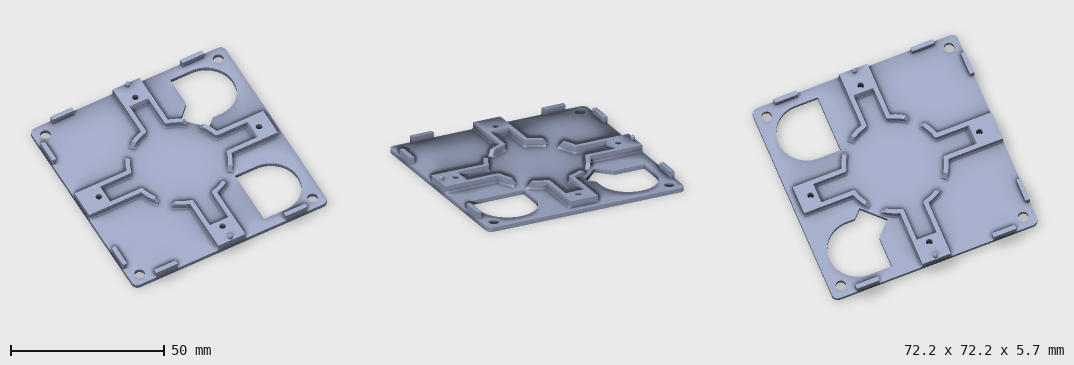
import cadquery as cq
side = 72.2
half = side / 2
plate_thickness = 1.5
corner_radius = 2.0
corner_hole_diameter = 3.5
corner_hole_inset = 4.0

wall_top = 4.0
foot = 0.6
foot_top = plate_thickness + foot
ring_outer_radius = 17.5
ring_inner_radius = 16.0
arm_half_width = 5.0
slot_half_width = 3.5
slot_end = 26.8
slot_end_top = 27.4
slot_mouth_radius = 0.7
back_arm_end = 34.0
gap_half_width = 2.0
gap_half_width_top = 3.5

arm_hole_diameter = 2.2
arm_hole_distance = 29.75
pin_diameter = 1.6
pin_top = 5.7
pin_chamfer = 0.5
pin_distance = 35.1

tab_length = 8.0
tab_width = 1.5
tab_inset = 8.0

window_width = 20.0
window_center = 22.1
window_bottom = 14.15
notch_length = 9.9
notch_distance = 18.0


def block(x_min, x_max, y_min, y_max, z_min, z_max):
    size = (x_max - x_min, y_max - y_min, z_max - z_min)
    return cq.Workplane("XY").box(*size, centered=False).translate((x_min, y_min, z_min))


def disc(radius, height, z_min, taper=0):
    return cq.Workplane("XY", origin=(0, 0, z_min)).circle(radius).extrude(height, taper=taper)


def turned(solid, angle):
    return solid.rotate((0, 0, 0), (0, 0, 1), angle)


def make_plate():
    plate = block(-half, half, -half, half, 0, plate_thickness)
    return plate.edges("|Z").fillet(corner_radius)


def make_wall_body():
    """Solid cross and disc with an outward foot, trimmed to the plate."""
    wall_height = wall_top - plate_thickness
    body = disc(ring_outer_radius, wall_height, plate_thickness)
    body = body.union(disc(ring_outer_radius + foot, foot, plate_thickness, taper=45))
    arm_profile = [
        (-arm_half_width - foot, plate_thickness),
        (arm_half_width + foot, plate_thickness),
        (arm_half_width, foot_top),
        (arm_half_width, wall_top),
        (-arm_half_width, wall_top),
        (-arm_half_width, foot_top),
    ]
    for plane in ("XZ", "YZ"):
        body = body.union(cq.Workplane(plane).polyline(arm_profile).close().extrude(half, both=True))
    return body.intersect(block(-half, half, -half, back_arm_end, 0, wall_top))


def round_mouths(cavity, radius):
    """Round the upright edges where the slots open into the disc."""
    reach = ring_inner_radius
    mouths = cq.selectors.BoxSelector((-reach, -reach, 0), (reach, reach, wall_top))
    return cavity.edges("|Z").edges(mouths).fillet(radius)


def make_cavity():
    """Inner disc with four slots; its outline narrows over the foot."""
    floor_reach = slot_end - foot
    floor_half_width = slot_half_width - foot
    floor = disc(ring_inner_radius - foot, foot, plate_thickness)
    wide = disc(ring_inner_radius, wall_top - foot_top, foot_top)
    floor_slot = block(
        -floor_reach, floor_reach, -floor_half_width, floor_half_width, plate_thickness, foot_top
    )
    wide_slot = block(-slot_end, slot_end, -slot_half_width, slot_half_width, foot_top, wall_top)
    for angle in (0, 90):
        floor = floor.union(turned(floor_slot, angle))
        wide = wide.union(turned(wide_slot, angle))
    floor = round_mouths(floor, slot_mouth_radius + foot)
    wide = round_mouths(wide, slot_mouth_radius)
    flare = floor.faces("<Z").wires().toPending().extrude(foot, taper=-45, combine=False)

    end_profile = [
        (-slot_end, foot_top),
        (slot_end, foot_top),
        (slot_end_top, wall_top),
        (-slot_end_top, wall_top),
    ]
    lean = cq.Workplane("XZ").polyline(end_profile).close().extrude(slot_half_width, both=True)
    return wide.union(flare).union(lean).union(turned(lean, 90))


def make_gaps():
    """Diagonal channels that split the ring, with sloping sides above the foot."""
    gap_profile = [
        (-gap_half_width, plate_thickness),
        (gap_half_width, plate_thickness),
        (gap_half_width, foot_top),
        (gap_half_width_top, wall_top),
        (-gap_half_width_top, wall_top),
        (-gap_half_width, foot_top),
    ]
    reach = ring_outer_radius + 2 * foot
    channel = cq.Workplane("YZ").polyline(gap_profile).close().extrude(reach, both=True)
    return turned(channel, 45).union(turned(channel, 135))


def make_tabs():
    """Two tabs on each of the -X, +X and -Y sides."""
    tabs = cq.Workplane("XY")
    for angle in (0, 90, 180):
        for start in (-half + tab_inset, half - tab_inset - tab_length):
            tab = block(-half, -half + tab_width, start, start + tab_length, 0, wall_top)
            tabs = tabs.add(turned(tab, angle))
    return tabs.combine()


def make_pins():
    pins = cq.Workplane("XY").pushPoints([(-pin_distance, 0), (pin_distance, 0)])
    pins = pins.circle(pin_diameter / 2).extrude(pin_top)
    return pins.faces(">Z").edges().chamfer(pin_chamfer)


def make_screw_holes():
    corner = half - corner_hole_inset
    holes = cq.Workplane("XY").rect(2 * corner, 2 * corner, forConstruction=True).vertices()
    holes = holes.circle(corner_hole_diameter / 2).extrude(wall_top)
    arm_holes = cq.Workplane("XY").polarArray(arm_hole_distance, 0, 360, 4)
    return holes.union(arm_holes.circle(arm_hole_diameter / 2).extrude(wall_top))


def make_window(center_x):
    radius = window_width / 2
    window = cq.Workplane("XY").moveTo(center_x - radius, window_bottom)
    window = window.lineTo(center_x - radius, window_center)
    window = window.threePointArc((center_x, window_center + radius), (center_x + radius, window_center))
    return window.lineTo(center_x + radius, window_bottom).close().extrude(wall_top)


def make_notch():
    """Square opening that joins the -X window to the edge of the ring."""
    inner = notch_distance
    notch = block(inner, inner + notch_length, -notch_length / 2, notch_length / 2, 0, wall_top)
    return turned(notch, 135)


walls = make_wall_body().cut(make_cavity()).cut(make_gaps())
result = make_plate().union(walls).union(make_tabs()).union(make_pins())
result = result.cut(make_screw_holes()).cut(make_notch())
for window_x in (-window_center, window_center):
    result = result.cut(make_window(window_x))